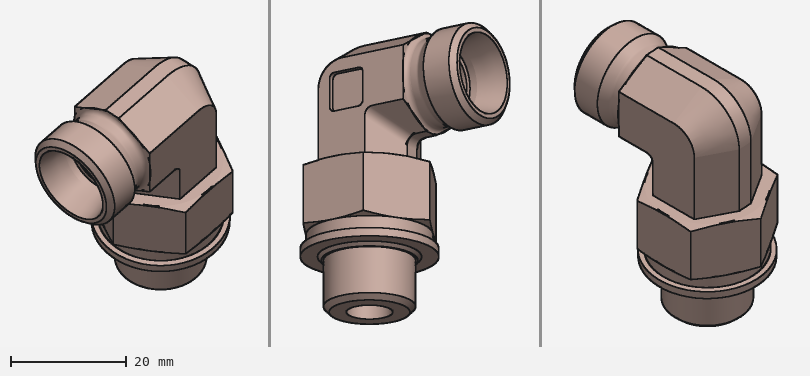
import cadquery as cq
import math

TAN_30 = math.tan(math.radians(30))

total_height = 48.0
port_diameter = 18.0
port_axis_z = total_height - port_diameter / 2

body_across_flats = 17.0
body_height = 17.9
inner_fillet = 1.9

stud_diameter = 16.0
thread_chamfer = 1.0
stud_bore_diameter = 8.0
port_bore_diameter = 10.0
drill_point_angle = 118

port_face_y = -24.0
port_thread_start_y = -17.6
neck_diameter = 15.7
neck_start_y = -13.0
neck_fillet = 1.0
neck_cone_half_angle = 30
socket_mouth_diameter = 14.35
socket_diameter = 12.0
socket_depth = 7.0
socket_cone_half_angle = 12

recess_size = 7.0
recess_corner_radius = 1.0
recess_depth = 1.0
recess_y = -1.0
recess_z = 38.0

washer_diameter = 24.0
washer_bottom_z = 10.05
washer_top_z = 11.5
lip_bottom_z = 9.35
lip_bottom_diameter = 16.7
lip_top_diameter = 18.0

nut_across_flats = 22.0
collar_chamfer = 0.15
hex_bottom_z = 14.0
nut_top_z = 25.5
nut_face_diameter = 21.7
nut_chamfer_angle = 15


def turned_about_z(outline):
    """Solid of revolution from (radius, z) points."""
    return cq.Workplane("YZ").polyline(outline).close().revolve(360, (0, 0, 0), (0, 1, 0))


def drill_point_length(diameter):
    return diameter / 2 / math.tan(math.radians(drill_point_angle / 2))


def body_outline():
    """Hexagon with flats at +X and -X whose top and bottom corners are cut off flat."""
    half_width = body_across_flats / 2
    half_height = body_height / 2
    side_half = half_width * TAN_30
    corner_height = 2 * side_half
    flat_half = (corner_height - half_height) / TAN_30
    return [
        (half_width, -side_half),
        (half_width, side_half),
        (flat_half, half_height),
        (-flat_half, half_height),
        (-half_width, side_half),
        (-half_width, -side_half),
        (-flat_half, -half_height),
        (flat_half, -half_height),
    ]


def body_section(workplane):
    return workplane.polyline(body_outline()).close()


def port_plane(y):
    """Plane facing -Y, centred on the port axis, with local x = X and local y = Z."""
    return cq.Workplane("XZ", origin=(0, y, port_axis_z))


def port_profile():
    """Half-plane through the port axis: local x = Y, local y = radius."""
    return cq.Workplane("YZ", origin=(0, 0, port_axis_z))


def port_leg(end_y):
    return body_section(port_plane(0)).extrude(-end_y)


def bar_elbow():
    """Stud leg and port leg joined by a rounded outer bend, with the inner corner filleted."""
    half_width = body_across_flats / 2
    half_height = body_height / 2
    side_half = half_width * TAN_30
    stud_leg = body_section(
        cq.Workplane("XY", origin=(0, 0, nut_top_z))
    ).extrude(port_axis_z - nut_top_z)
    bend = port_plane(0).polyline(
        [(half_width, 0), *body_outline()[1:5], (-half_width, 0)]
    ).close().revolve(90, (0.5, 0, 0), (-0.5, 0, 0))
    bar = stud_leg.union(port_leg(neck_start_y)).union(bend)

    margin = 0.1
    inner_corner = cq.selectors.BoxSelector(
        (-half_width + margin, -half_height - margin, port_axis_z - half_height - margin),
        (half_width - margin, -side_half - margin, port_axis_z - side_half - margin),
    )
    return bar.edges(inner_corner).fillet(inner_fillet)


def neck_flare():
    """Concave fillet from the neck up to the leg's end face, trimmed by the bar section."""
    neck_radius = neck_diameter / 2
    flare_end_y = neck_start_y - neck_fillet
    arc_offset = neck_fillet * math.sqrt(0.5)
    flare = (
        port_profile()
        .moveTo(neck_start_y, 0)
        .lineTo(neck_start_y, neck_radius + neck_fillet)
        .threePointArc(
            (flare_end_y + arc_offset, neck_radius + neck_fillet - arc_offset),
            (flare_end_y, neck_radius),
        )
        .lineTo(flare_end_y, 0)
        .close()
        .revolve(360, (0, 0, 0), (1, 0, 0))
    )
    return flare.intersect(port_leg(flare_end_y))


def port_end():
    """Neck, cone and chamfered threaded end, turned about the port axis."""
    neck_radius = neck_diameter / 2
    port_radius = port_diameter / 2
    cone_angle = math.radians(neck_cone_half_angle)
    cone_foot_y = port_thread_start_y + (port_radius - neck_radius) / math.tan(cone_angle)
    tangent_length = neck_fillet * math.tan(cone_angle / 2)
    blend_start_y = cone_foot_y + tangent_length
    blend_end = (
        cone_foot_y - tangent_length * math.cos(cone_angle),
        neck_radius + tangent_length * math.sin(cone_angle),
    )
    return (
        port_profile()
        .moveTo(neck_start_y - neck_fillet, 0)
        .lineTo(neck_start_y - neck_fillet, neck_radius)
        .lineTo(blend_start_y, neck_radius)
        .tangentArcPoint(blend_end, relative=False)
        .lineTo(port_thread_start_y, port_radius)
        .lineTo(port_face_y + thread_chamfer, port_radius)
        .lineTo(port_face_y, port_radius - thread_chamfer)
        .lineTo(port_face_y, 0)
        .close()
        .revolve(360, (0, 0, 0), (1, 0, 0))
    )


def port_passage():
    """Tapered tube socket with a flat stop, then a drilled bore ending at the stud axis."""
    socket_radius = socket_diameter / 2
    mouth_radius = socket_mouth_diameter / 2
    bore_radius = port_bore_diameter / 2
    taper_length = (mouth_radius - socket_radius) / math.tan(math.radians(socket_cone_half_angle))
    return (
        port_profile()
        .moveTo(port_face_y, 0)
        .lineTo(port_face_y, mouth_radius)
        .lineTo(port_face_y + taper_length, socket_radius)
        .lineTo(port_face_y + socket_depth, socket_radius)
        .lineTo(port_face_y + socket_depth, bore_radius)
        .lineTo(0, bore_radius)
        .lineTo(drill_point_length(port_bore_diameter), 0)
        .close()
        .revolve(360, (0, 0, 0), (1, 0, 0))
    )


def stud_passage():
    """Bore drilled up the stud, with its drill point starting on the port axis."""
    bore_radius = stud_bore_diameter / 2
    return turned_about_z([
        (0, 0),
        (bore_radius, 0),
        (bore_radius, port_axis_z),
        (0, port_axis_z + drill_point_length(stud_bore_diameter)),
    ])


def side_recess():
    side_x = -body_across_flats / 2
    return (
        cq.Workplane("XY")
        .box(recess_depth, recess_size, recess_size, centered=(False, True, True))
        .edges("|X")
        .fillet(recess_corner_radius)
        .translate((side_x, recess_y, recess_z))
    )


def make_elbow():
    stud_radius = stud_diameter / 2
    stud = turned_about_z([
        (0, 0),
        (stud_radius - thread_chamfer, 0),
        (stud_radius, thread_chamfer),
        (stud_radius, nut_top_z),
        (0, nut_top_z),
    ])
    outside = bar_elbow().union(neck_flare()).union(port_end()).union(stud)
    return outside.cut(port_passage()).cut(stud_passage()).cut(side_recess())


def make_washer():
    """Flat ring with a tapered sealing lip underneath, fitting round the stud."""
    hole_radius = stud_diameter / 2
    return turned_about_z([
        (hole_radius, lip_bottom_z),
        (lip_bottom_diameter / 2, lip_bottom_z),
        (lip_top_diameter / 2, washer_bottom_z),
        (washer_diameter / 2, washer_bottom_z),
        (washer_diameter / 2, washer_top_z),
        (hole_radius, washer_top_z),
    ])


def make_lock_nut():
    """Hexagon nut, corners at +Y and -Y, chamfered at both ends above a round collar."""
    collar_radius = nut_across_flats / 2
    corner_radius = collar_radius / math.cos(math.radians(30))
    hexagon = (
        cq.Workplane("XY", origin=(0, 0, hex_bottom_z))
        .transformed(rotate=(0, 0, 90))
        .polygon(6, 2 * corner_radius)
        .extrude(nut_top_z - hex_bottom_z)
    )

    slope = math.tan(math.radians(nut_chamfer_angle))
    top_drop = (corner_radius - nut_face_diameter / 2) * slope
    bottom_rise = (corner_radius - collar_radius) * slope
    chamfer_envelope = turned_about_z([
        (0, hex_bottom_z),
        (collar_radius, hex_bottom_z),
        (corner_radius, hex_bottom_z + bottom_rise),
        (corner_radius, nut_top_z - top_drop),
        (nut_face_diameter / 2, nut_top_z),
        (0, nut_top_z),
    ])

    collar = turned_about_z([
        (0, washer_top_z),
        (collar_radius - collar_chamfer, washer_top_z),
        (collar_radius, washer_top_z + collar_chamfer),
        (collar_radius, hex_bottom_z),
        (0, hex_bottom_z),
    ])
    stud_hole = (
        cq.Workplane("XY", origin=(0, 0, washer_top_z))
        .circle(stud_diameter / 2)
        .extrude(nut_top_z - washer_top_z)
    )
    return hexagon.intersect(chamfer_envelope).union(collar).cut(stud_hole)


elbow = make_elbow()
washer = make_washer()
lock_nut = make_lock_nut()

result = cq.Compound.makeCompound([elbow.val(), washer.val(), lock_nut.val()])